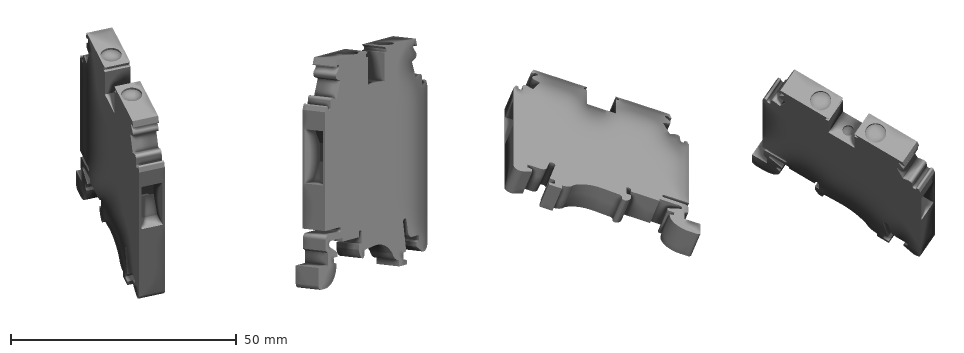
import cadquery as cq

THICKNESS = 6.0
HEIGHT = 50.85
WIDTH = 44.25
BODY_HALF = 20.75
FOOT_LEFT = BODY_HALF - WIDTH
SPLIT_Z = 20.35

SLOT_HALF = 3.4
SLOT_FLOOR = 43.1
NOTCH_DEPTH = 0.75
NOTCH_BOTTOM = 49.6
NOTCH_TOP = 50.25

SPRING_SLOT_TOP = 12.95
SPRING_SLOT_WIDTH = 1.1
SPRING_SLOT_BOTTOM = SPRING_SLOT_TOP - SPRING_SLOT_WIDTH
SPRING_SLOT_END = -14.95
SPRING_OUTER = -20.55
SPRING_NECK = -19.65
SPRING_UNDERSIDE = 10.4
FOOT_TOP = 5.1
ELBOW_RADIUS = 0.95
HEEL_RADIUS = 1.0

UNDERSIDE = 9.55
RELIEF_TOP = 11.05
RAIL_LIP = 6.45
STEP_BOTTOM = 0.55

SCREW_DIAMETER = 4.7
SCREW_OFFSET = 7.2
JUMPER_DIAMETER = 2.5
RECESS_DEPTH = 0.5
RECESS_Y = 2.75

ENTRY_Z = 29.3
ENTRY_HEIGHT = 12.2
ENTRY_WIDTH = 4.95
ENTRY_STRAIGHT = 3.7
FUNNEL_LENGTH = 2.55
THROAT_HEIGHT = 4.15
CLAMP_Y_MIN = 1.1
CLAMP_Y_MAX = 4.15
CLAMP_DEPTH = 0.5
CLAMP_STEP_Y_MAX = 4.55
CLAMP_STEP_DEPTH = 0.25


def extrude_profile(path):
    """Close an XZ outline and extrude it from Y = 0 to Y = THICKNESS."""
    return path.close().extrude(-THICKNESS)


def upper_half():
    """Right half of the upper body: half slot, screw tower and latching shoulder."""
    path = (
        cq.Workplane("XZ")
        .moveTo(0, SPLIT_Z)
        .lineTo(0, SLOT_FLOOR)
        .lineTo(SLOT_HALF, SLOT_FLOOR)
        .lineTo(SLOT_HALF, NOTCH_BOTTOM)
        .lineTo(SLOT_HALF + NOTCH_DEPTH, NOTCH_BOTTOM)
        .lineTo(SLOT_HALF + NOTCH_DEPTH, NOTCH_TOP)
        .lineTo(SLOT_HALF, HEIGHT)
        .lineTo(16.05, HEIGHT)
        .lineTo(16.6, 49.45)
        .lineTo(16.6, 49.15)
        .lineTo(16.0, 49.15)
        .threePointArc((15.35, 49.6), (15.25, 48.7))
        .lineTo(16.1, 47.8)
        .threePointArc((16.35, 47.15), (15.85, 46.4))
        .lineTo(14.55, 45.85)
        .lineTo(16.15, 41.85)
        .lineTo(17.6, 42.5)
        .threePointArc((18.25, 42.45), (18.55, 41.9))
        .lineTo(18.65, 40.5)
        .threePointArc((19.15, 39.85), (19.7, 40.5))
        .threePointArc((20.05, 41.0), (20.35, 40.8))
        .lineTo(BODY_HALF, 39.7)
        .lineTo(BODY_HALF, SPLIT_Z)
    )
    return extrude_profile(path)


def draw_spring_foot(path):
    """Slotted spring arm and release foot, ending at the left end of the underside."""
    slot_mid = SPRING_SLOT_TOP - SPRING_SLOT_WIDTH / 2
    slot_tip = SPRING_SLOT_END + SPRING_SLOT_WIDTH / 2
    return (
        path.lineTo(-BODY_HALF, SPRING_SLOT_TOP)
        .lineTo(SPRING_SLOT_END, SPRING_SLOT_TOP)
        .threePointArc((slot_tip, slot_mid), (SPRING_SLOT_END, SPRING_SLOT_BOTTOM))
        .lineTo(SPRING_OUTER + ELBOW_RADIUS, SPRING_SLOT_BOTTOM)
        .tangentArcPoint((-ELBOW_RADIUS, -ELBOW_RADIUS))
        .lineTo(SPRING_OUTER, 8.45)
        .lineTo(SPRING_NECK, 7.9)
        .lineTo(SPRING_NECK, FOOT_TOP)
        .lineTo(FOOT_LEFT, FOOT_TOP)
        .lineTo(FOOT_LEFT, HEEL_RADIUS)
        .tangentArcPoint((HEEL_RADIUS, -HEEL_RADIUS))
        .lineTo(-20.65, 0)
        .threePointArc((-17.5, 1.35), (-16.15, 5.05))
        .lineTo(-17.1, 5.25)
        .lineTo(-17.3, RAIL_LIP)
        .lineTo(-15.65, RAIL_LIP)
        .lineTo(-15.65, 7.4)
        .lineTo(-18.6, 9.0)
        .threePointArc((-19.1, 9.7), (-18.55, SPRING_UNDERSIDE))
        .lineTo(-13.75, SPRING_UNDERSIDE)
        .lineTo(-13.75, UNDERSIDE)
    )


def draw_rail_seat(path):
    """Left relief slot, rounded claw, arched underside and stepped stop."""
    return (
        path.lineTo(-7.05, UNDERSIDE)
        .lineTo(-6.95, 10.5)
        .threePointArc((-6.45, RELIEF_TOP), (-5.95, 10.55))
        .lineTo(-5.95, 7.95)
        .lineTo(-7.0, 7.95)
        .lineTo(-7.0, 6.7)
        .threePointArc((-6.7, 5.75), (-5.95, 4.8))
        .threePointArc((-5.2, 4.7), (-4.85, 5.2))
        .lineTo(-4.85, 5.8)
        .threePointArc((-4.55, 6.3), (-3.95, 6.45))
        .lineTo(-0.15, 6.75)
        .threePointArc((3.5, 6.1), (6.6, 3.85))
        .threePointArc((7.8, 2.5), (9.35, 2.05))
        .lineTo(9.35, STEP_BOTTOM)
        .lineTo(12.45, STEP_BOTTOM)
        .lineTo(12.45, 1.6)
        .lineTo(11.35, 1.6)
        .lineTo(11.0, 1.9)
        .lineTo(11.0, 3.4)
        .lineTo(12.2, 3.5)
    )


def draw_fixed_hook(path):
    """Right relief slot and the fixed hook at the lower right corner."""
    return (
        path.lineTo(11.0, 10.0)
        .threePointArc((11.65, RELIEF_TOP), (12.35, 10.3))
        .lineTo(12.85, 7.95)
        .threePointArc((13.35, 6.9), (14.45, RAIL_LIP))
        .lineTo(17.45, RAIL_LIP)
        .lineTo(17.45, 5.25)
        .lineTo(16.35, 5.05)
        .lineTo(16.35, 3.95)
        .lineTo(18.6, 2.65)
        .threePointArc((20.05, 2.7), (BODY_HALF, 3.85))
    )


def lower_body():
    path = cq.Workplane("XZ").moveTo(-BODY_HALF, SPLIT_Z)
    path = draw_spring_foot(path)
    path = draw_rail_seat(path)
    path = draw_fixed_hook(path)
    return extrude_profile(path.lineTo(BODY_HALF, SPLIT_Z))


def round_recess(x, top_z, diameter):
    """Shallow blind recess sunk into an upward face."""
    return (
        cq.Workplane("XY", origin=(x, RECESS_Y, top_z))
        .circle(diameter / 2)
        .extrude(-RECESS_DEPTH)
    )


def clamp_recess(y_min, y_max, depth):
    """Upright step cut into the end wall of the right wire entry."""
    wall_x = BODY_HALF - ENTRY_STRAIGHT - FUNNEL_LENGTH
    recess = cq.Workplane("XY").box(depth, y_max - y_min, THROAT_HEIGHT, centered=(False, False, True))
    return recess.translate((wall_x - depth, y_min, ENTRY_Z))


def wire_entry():
    """Wire entry on the right side: straight mouth, then a funnel in height only."""
    mouth_end = BODY_HALF - ENTRY_STRAIGHT
    throat = mouth_end - FUNNEL_LENGTH
    side_wall = (THICKNESS - ENTRY_WIDTH) / 2
    outline = [
        (BODY_HALF, ENTRY_Z + ENTRY_HEIGHT / 2),
        (mouth_end, ENTRY_Z + ENTRY_HEIGHT / 2),
        (throat, ENTRY_Z + THROAT_HEIGHT / 2),
        (throat, ENTRY_Z - THROAT_HEIGHT / 2),
        (mouth_end, ENTRY_Z - ENTRY_HEIGHT / 2),
        (BODY_HALF, ENTRY_Z - ENTRY_HEIGHT / 2),
    ]
    funnel = cq.Workplane("XZ", origin=(0, side_wall, 0)).polyline(outline).close().extrude(-ENTRY_WIDTH)
    clamp = clamp_recess(CLAMP_Y_MIN, CLAMP_Y_MAX, CLAMP_DEPTH)
    clamp_step = clamp_recess(CLAMP_Y_MAX, CLAMP_STEP_Y_MAX, CLAMP_STEP_DEPTH)
    return funnel.union(clamp).union(clamp_step)


right_half = upper_half()
result = right_half.union(right_half.mirror("YZ")).union(lower_body()).clean()

for screw_x in (-SCREW_OFFSET, SCREW_OFFSET):
    result = result.cut(round_recess(screw_x, HEIGHT, SCREW_DIAMETER))
result = result.cut(round_recess(0, SLOT_FLOOR, JUMPER_DIAMETER))

entry = wire_entry()
result = result.cut(entry).cut(entry.mirror("YZ"))